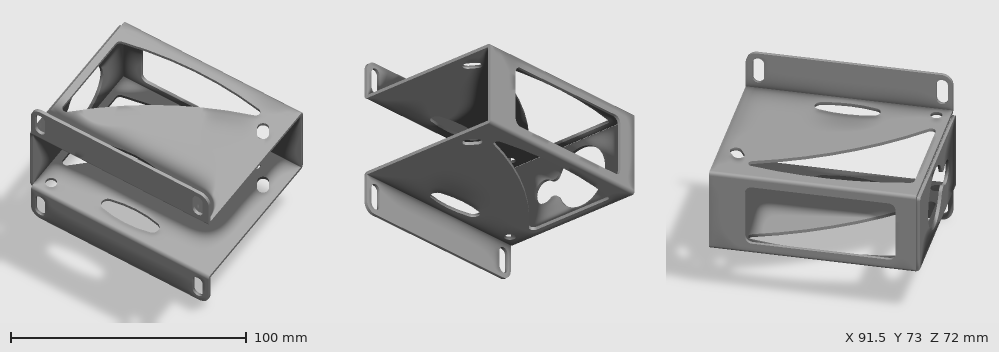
import cadquery as cq
import math

length = 91.5
depth = 73.0
height = 72.0

sheet = 1.5
inner_bend = 0.1
outer_bend = sheet + inner_bend

channel_left = sheet
channel_length = length - channel_left
body_height = 37.9
body_half = body_height / 2
inside_half = body_half - sheet
flange_corner = 5.0

hole_diameter = 5.0

flange_slot_length = 12.0
flange_slot_x = (6.0, 86.0)
flange_slot_z = 27.55

window_left = 10.4
window_right = 75.9
window_height = 28.0
window_corner = 3.0

cutout_left = 4.85
cutout_right = 82.8
cutout_bottom = 14.6
cutout_shoulder = 62.2
cutout_crest = 66.8
cutout_lower_mid = (41.2, 44.1)
cutout_corner = 2.0

lens_centre = (45.3, 9.8)
lens_height = 8.8
lens_side_radius = 50.1
lens_end_radius = 3.0

pivot = (7.4, 6.5)
slot_radius = 90.0
slot_mid_angle = 32.5
slot_half_angle = 1.15

wall_top = inside_half - inner_bend
wall_front = outer_bend
wall_back = depth - outer_bend
wall_corner = 1.5
keyhole_large_y = 41.9
keyhole_large_radius = 14.0
keyhole_small_y = 20.9
keyhole_small_radius = 5.5
keyhole_neck_radius = 3.3


def make_channel():
    """Hat section along X, with every bend rounded inside and outside."""
    flange_tip = height / 2
    outline = [
        (0, flange_tip),
        (0, inside_half),
        (depth - sheet, inside_half),
        (depth - sheet, -inside_half),
        (0, -inside_half),
        (0, -flange_tip),
        (sheet, -flange_tip),
        (sheet, -body_half),
        (depth, -body_half),
        (depth, body_half),
        (sheet, body_half),
        (sheet, flange_tip),
    ]
    channel = cq.Workplane("YZ", origin=(channel_left, 0, 0)).polyline(outline).close()
    channel = channel.extrude(channel_length)
    for side in (1, -1):
        channel = round_bend(channel, 0, side * inside_half, outer_bend)
        channel = round_bend(channel, sheet, side * body_half, inner_bend)
        channel = round_bend(channel, depth, side * body_half, outer_bend)
        channel = round_bend(channel, depth - sheet, side * inside_half, inner_bend)
    for tip in (">Z", "<Z"):
        channel = channel.faces(tip).edges("|Y").fillet(flange_corner)
    return channel


def round_bend(body, y, z, radius):
    """Fillet the edge along X that passes through (y, z)."""
    middle = channel_left + channel_length / 2
    return body.edges(cq.selectors.NearestToPointSelector((middle, y, z))).fillet(radius)


def make_left_wall():
    """Upright wall whose lower edge is the bend into the lower plate."""
    wall = (
        cq.Workplane("XZ", origin=(0, wall_front, 0))
        .moveTo(sheet, -body_half)
        .radiusArc((0, sheet - body_half), sheet)
        .lineTo(0, wall_top)
        .lineTo(sheet, wall_top)
        .close()
        .extrude(wall_front - wall_back)
    )
    return wall.edges("|X and >Z").fillet(wall_corner)


def flange_slots():
    centres = [(x, side * flange_slot_z) for x in flange_slot_x for side in (1, -1)]
    return (
        cq.Workplane("XZ")
        .pushPoints(centres)
        .slot2D(flange_slot_length, hole_diameter, 90)
        .extrude(-outer_bend)
    )


def back_window():
    window = cq.Workplane("XY").box(window_right - window_left, 2 * sheet, window_height)
    window = window.edges("|Y").fillet(window_corner)
    return window.translate(((window_left + window_right) / 2, depth - sheet, 0))


def plate_plane():
    """Plane under the lower plate, from which cutouts rise through both plates."""
    return cq.Workplane("XY", origin=(0, 0, -body_half))


def three_sided_cutout():
    crest_x = (cutout_left + cutout_right) / 2
    return (
        plate_plane()
        .moveTo(cutout_left, cutout_bottom)
        .lineTo(cutout_left, cutout_shoulder)
        .threePointArc((crest_x, cutout_crest), (cutout_right, cutout_shoulder))
        .threePointArc(cutout_lower_mid, (cutout_left, cutout_bottom))
        .close()
        .extrude(body_height)
        .edges("|Z")
        .fillet(cutout_corner)
    )


def lens_cutout():
    """Two shallow arcs that would meet in points, with the points rounded off."""
    x, y = lens_centre
    half_height = lens_height / 2
    half_chord = math.sqrt(lens_side_radius**2 - (lens_side_radius - half_height) ** 2)
    return (
        plate_plane()
        .moveTo(x - half_chord, y)
        .threePointArc((x, y + half_height), (x + half_chord, y))
        .threePointArc((x, y - half_height), (x - half_chord, y))
        .close()
        .extrude(body_height)
        .edges("|Z")
        .fillet(lens_end_radius)
    )


def pivot_hole():
    return plate_plane().center(*pivot).circle(hole_diameter / 2).extrude(body_height)


def pivot_slot():
    """Slot with round ends whose centre line is an arc around the pivot hole."""

    def point(radius, angle):
        turn = math.radians(slot_mid_angle + angle)
        return (pivot[0] + radius * math.cos(turn), pivot[1] + radius * math.sin(turn))

    inner = slot_radius - hole_diameter / 2
    outer = slot_radius + hole_diameter / 2
    end_angle = slot_half_angle + math.degrees(hole_diameter / 2 / slot_radius)
    return (
        plate_plane()
        .moveTo(*point(inner, -slot_half_angle))
        .threePointArc(point(slot_radius, -end_angle), point(outer, -slot_half_angle))
        .threePointArc(point(outer, 0), point(outer, slot_half_angle))
        .threePointArc(point(slot_radius, end_angle), point(inner, slot_half_angle))
        .threePointArc(point(inner, 0), point(inner, -slot_half_angle))
        .close()
        .extrude(body_height)
    )


def keyhole():
    """Large and small round holes joined by a neck whose two sides bulge inwards."""
    spacing = keyhole_large_y - keyhole_small_y
    from_large = keyhole_large_radius + keyhole_neck_radius
    from_small = keyhole_small_radius + keyhole_neck_radius
    neck_shift = (from_small**2 - from_large**2 + spacing**2) / (2 * spacing)
    neck_y = keyhole_small_y + neck_shift
    neck_z = math.sqrt(from_small**2 - neck_shift**2)

    def touch_point(hole_y, hole_radius):
        share = hole_radius / (hole_radius + keyhole_neck_radius)
        return (hole_y + (neck_y - hole_y) * share, neck_z * share)

    large_y, large_z = touch_point(keyhole_large_y, keyhole_large_radius)
    small_y, small_z = touch_point(keyhole_small_y, keyhole_small_radius)
    throat = neck_z - keyhole_neck_radius
    return (
        cq.Workplane("YZ")
        .moveTo(large_y, large_z)
        .threePointArc((neck_y, throat), (small_y, small_z))
        .threePointArc((keyhole_small_y - keyhole_small_radius, 0), (small_y, -small_z))
        .threePointArc((neck_y, -throat), (large_y, -large_z))
        .threePointArc((keyhole_large_y + keyhole_large_radius, 0), (large_y, large_z))
        .close()
        .extrude(sheet)
    )


result = make_channel().cut(flange_slots()).cut(back_window())
for cutout in (three_sided_cutout(), lens_cutout(), pivot_hole(), pivot_slot()):
    result = result.cut(cutout)
result = result.union(make_left_wall().cut(keyhole()))